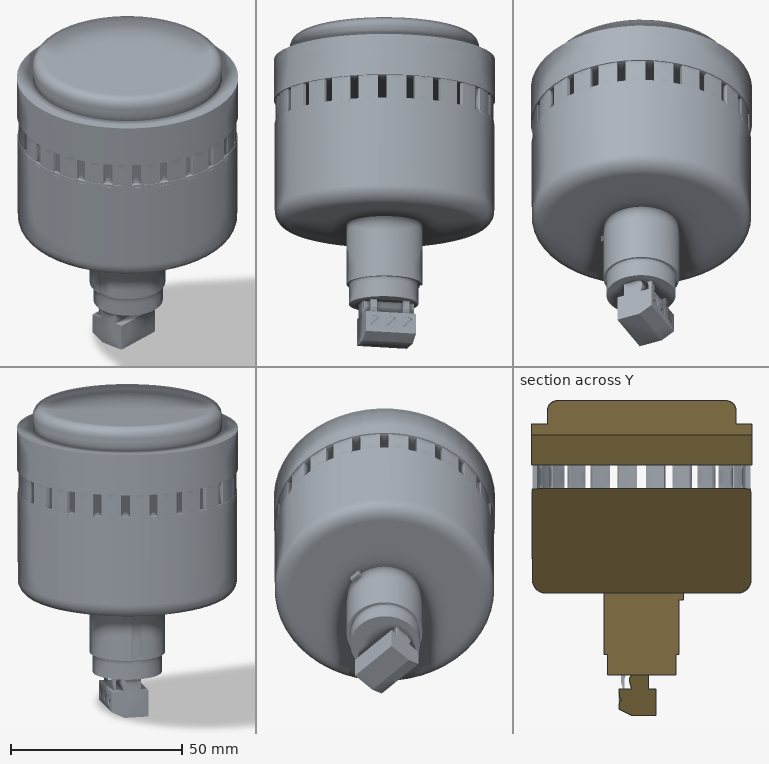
import cadquery as cq

TOTAL_HEIGHT = 92.05
FLANGE_TOP = 85.2
BAND_TOP = 81.8
BAND_BOTTOM = 73.1
RIM_TOP = 66.3
HOUSING_BOTTOM = 35.7
NECK_STEP = 17.9
NECK_BOTTOM = 11.9
BLOCK_TOP = 7.9

LENS_RADIUS = 27.6
LENS_FILLET = 3.0
BAND_RADIUS = 32.3

HOUSING_RADIUS = 32.0
GRILLE_RADIUS = 31.85
GRILLE_INNER_RADIUS = 30.5
SLOT_COUNT = 24
SLOT_WIDTH = 2.6

HOUSING_FILLET = 4.1
PLATFORM_RADIUS = 29.5
STEP_HEIGHT = 0.1
NOTCH_DEPTH = 0.2
NOTCH_HEIGHT = 0.8

NECK_RADIUS = 11.0
NECK_LOWER_RADIUS = 10.1
NECK_LOWER_SHIFT_Y = 0.3
GROOVE_WIDTH = 3.1
GROOVE_FLOOR_Y = -10.5
KEY_END_X = 12.3
KEY_HEIGHT = 1.9

FINGER_WIDTH = 1.9
FINGER_SPACING = 9.8
FINGER_OUTER_X = -5.9
FINGER_TIP_OUTER_X = -5.4
FINGER_INNER_X = -5.0
FINGER_ROOT_X = -4.5
FINGER_BOTTOM = BLOCK_TOP
FINGER_TAPER_HEIGHT = 1.7
FINGER_ROOT_HEIGHT = 1.3

BLOCK_CENTER_Y = -0.3
BLOCK_LENGTH = 15.1
BLOCK_LEFT_X = -6.7
BLOCK_RIGHT_X = 4.3
STEM_LEFT_X = -2.5
STEM_RIGHT_X = 2.1
CHAMFER_LENGTH = 3.9
CHAMFER_HEIGHT = 1.9

RAIL_OUTER_X = -3.6
RAIL_EDGE_X = -3.0
RAIL_SHIFT_Y = -0.2
RAIL_UPPER_Z = 11.0
RAIL_LOWER_Z = 9.9

SCREW_COUNT = 3
SCREW_PITCH = 5.0
SCREW_RADIUS = 1.75
SCREW_Z = 5.1
SCREW_RECESS = 0.2
SCREW_SLOT_WIDTH = 0.55
SCREW_SLOT_DEPTH = 0.55
SCREW_SLOT_ANGLE = 45


def cylinder(radius, bottom, top):
    return cq.Workplane("XY").workplane(offset=bottom).circle(radius).extrude(top - bottom)


def block(x_range, y_range, z_range):
    """Box that spans the given (low, high) pairs."""
    spans = (x_range, y_range, z_range)
    sizes = [high - low for low, high in spans]
    return cq.Workplane("XY").box(*sizes, centered=False).translate(tuple(low for low, _ in spans))


def extrude_along_y(points, center_y, length):
    """XZ outline extruded evenly to both sides of center_y."""
    plane = cq.Plane(origin=(0, center_y, 0), xDir=(1, 0, 0), normal=(0, -1, 0))
    return cq.Workplane(plane).polyline(points).close().extrude(length / 2, both=True)


def slot_cutters(inner_radius, bottom, top):
    """Radial bars, evenly spaced round the axis, that start at inner_radius."""
    bar = block((inner_radius, BAND_RADIUS), (-SLOT_WIDTH / 2, SLOT_WIDTH / 2), (bottom, top))
    cutters = cq.Workplane("XY")
    for index in range(SLOT_COUNT):
        angle = index * 360 / SLOT_COUNT
        cutters = cutters.add(bar.rotate((0, 0, 0), (0, 0, 1), angle))
    return cutters.combine()


def make_lens():
    flange = cylinder(BAND_RADIUS, BAND_TOP, FLANGE_TOP)
    dome = cylinder(LENS_RADIUS, BAND_TOP, TOTAL_HEIGHT).faces(">Z").edges().fillet(LENS_FILLET)
    return flange.union(dome)


def make_grille():
    band = cylinder(BAND_RADIUS, BAND_BOTTOM, BAND_TOP)
    skirt = cylinder(GRILLE_RADIUS, RIM_TOP, BAND_BOTTOM)
    skirt = skirt.cut(cylinder(GRILLE_INNER_RADIUS, RIM_TOP, BAND_BOTTOM))
    skirt = skirt.cut(slot_cutters(PLATFORM_RADIUS, RIM_TOP, BAND_BOTTOM))
    return band.union(skirt)


def make_housing():
    body = cylinder(HOUSING_RADIUS, HOUSING_BOTTOM, RIM_TOP).faces("<Z").edges().fillet(HOUSING_FILLET)
    body = body.cut(slot_cutters(HOUSING_RADIUS - NOTCH_DEPTH, RIM_TOP - NOTCH_HEIGHT, RIM_TOP))
    first_step_top = RIM_TOP + STEP_HEIGHT
    body = body.union(cylinder(GRILLE_INNER_RADIUS, HOUSING_BOTTOM + HOUSING_FILLET, first_step_top))
    return body.union(cylinder(PLATFORM_RADIUS, RIM_TOP, first_step_top + STEP_HEIGHT))


def make_finger(center_y):
    outline = [
        (FINGER_OUTER_X, NECK_BOTTOM),
        (FINGER_OUTER_X, FINGER_BOTTOM + FINGER_TAPER_HEIGHT),
        (FINGER_TIP_OUTER_X, FINGER_BOTTOM),
        (FINGER_INNER_X, FINGER_BOTTOM),
        (FINGER_INNER_X, NECK_BOTTOM - FINGER_ROOT_HEIGHT),
        (FINGER_ROOT_X, NECK_BOTTOM),
    ]
    return extrude_along_y(outline, center_y, FINGER_WIDTH)


def make_neck():
    half_width = GROOVE_WIDTH / 2
    neck = cylinder(NECK_RADIUS, NECK_STEP, HOUSING_BOTTOM)
    neck = neck.cut(
        block((-half_width, half_width), (-NECK_RADIUS, GROOVE_FLOOR_Y), (NECK_STEP, HOUSING_BOTTOM))
    )
    lower = cylinder(NECK_LOWER_RADIUS, NECK_BOTTOM, NECK_STEP)
    neck = neck.union(lower.translate((0, NECK_LOWER_SHIFT_Y, 0)))
    key_bottom = HOUSING_BOTTOM - KEY_HEIGHT
    neck = neck.union(block((0, KEY_END_X), (-half_width, half_width), (key_bottom, HOUSING_BOTTOM)))
    for side in (-1, 1):
        neck = neck.union(make_finger(BLOCK_CENTER_Y + side * FINGER_SPACING / 2))
    return neck


def cut_screw(body, center_y):
    """Shallow round recess with a diagonal driver slot in the -X face."""
    face = cq.Plane(origin=(BLOCK_LEFT_X, center_y, SCREW_Z), xDir=(0, -1, 0), normal=(-1, 0, 0))

    def screw_disc(depth):
        return cq.Workplane(face).circle(SCREW_RADIUS).extrude(-depth)

    body = body.cut(screw_disc(SCREW_RECESS))
    driver_slot = cq.Workplane(face).transformed(rotate=(0, 0, SCREW_SLOT_ANGLE))
    driver_slot = driver_slot.rect(2 * SCREW_RADIUS, SCREW_SLOT_WIDTH).extrude(-SCREW_SLOT_DEPTH)
    return body.cut(driver_slot.intersect(screw_disc(SCREW_SLOT_DEPTH)))


def make_terminal_block():
    outline = [
        (BLOCK_LEFT_X + CHAMFER_LENGTH, 0),
        (BLOCK_RIGHT_X, 0),
        (BLOCK_RIGHT_X, BLOCK_TOP),
        (STEM_RIGHT_X, BLOCK_TOP),
        (STEM_RIGHT_X, NECK_BOTTOM),
        (STEM_LEFT_X, NECK_BOTTOM),
        (STEM_LEFT_X, BLOCK_TOP),
        (BLOCK_LEFT_X, BLOCK_TOP),
        (BLOCK_LEFT_X, CHAMFER_HEIGHT),
    ]
    body = extrude_along_y(outline, BLOCK_CENTER_Y, BLOCK_LENGTH)
    rail = [
        (STEM_LEFT_X, BLOCK_TOP),
        (STEM_LEFT_X, NECK_BOTTOM),
        (RAIL_EDGE_X, NECK_BOTTOM),
        (RAIL_OUTER_X, RAIL_UPPER_Z),
        (RAIL_OUTER_X, RAIL_LOWER_Z),
        (RAIL_EDGE_X, BLOCK_TOP),
    ]
    body = body.union(extrude_along_y(rail, BLOCK_CENTER_Y + RAIL_SHIFT_Y, BLOCK_LENGTH))
    for index in range(SCREW_COUNT):
        offset = (index - (SCREW_COUNT - 1) / 2) * SCREW_PITCH
        body = cut_screw(body, BLOCK_CENTER_Y + offset)
    return body


lens = make_lens()
grille = make_grille()
housing = make_housing()
neck = make_neck()
terminal_block = make_terminal_block()

result = cq.Compound.makeCompound(
    [lens.val(), grille.val(), housing.val(), neck.val(), terminal_block.val()]
)